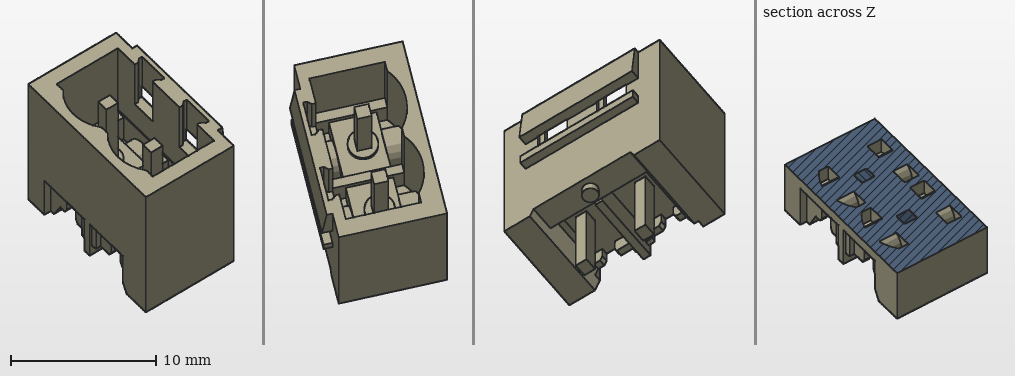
import cadquery as cq


TOTAL_HEIGHT = 15.2
CUT_MARGIN = 0.15

PITCH = 5.0
POLE_XS = (-PITCH / 2, PITCH / 2)
POLE_Y = 3.8

WIDTH = 13.2
DEPTH = 7.69
HEIGHT = 12.0

CAVITY_WIDTH = 10.78
CAVITY_FRONT_Y = 1.55
CAVITY_BACK_Y = 6.85
LEDGE_Z = 5.47
FLOOR_Z = 3.19
DIVIDER_WIDTH = 0.65
CELL_WIDTH = PITCH - DIVIDER_WIDTH
SCALLOP_FRONT_Y = 0.76
BACK_RELIEF_Y = 6.9
BACK_RELIEF_Z = 5.62

SADDLE_RADIUS = 1.47
BRIDGE_FRONT_Y = 2.31
BRIDGE_BACK_Y = 5.68
BRIDGE_Z = 5.02
COLLAR_RADIUS = 1.06
COLLAR_HEIGHT = 0.3

SLOT_NECK_WIDTH = 1.99
SLOT_WIDE_WIDTH = 2.5
SLOT_NECK_END_Y = 7.19
SLOT_WIDE_START_Y = 7.46
SLOT_BACK_Y = 7.74
SLOT_SILL_Z = 7.86

LATCH_WIDTH = 9.56
LATCH_HEIGHT = 3.1
LATCH_DEPTH_TOP = 0.41
LATCH_DEPTH_BOTTOM = 0.75
STRIP_BOTTOM_Z = 5.96
STRIP_HEIGHT = 0.78
STRIP_DEPTH = 0.64

CHANNEL_BOTTOM_WIDTH = 8.85
CHANNEL_TOP_WIDTH = 7.48
CHANNEL_HEIGHT = 1.32
HOLLOW_FRONT_Y = 1.08
HOLLOW_HEIGHT = 2.55
BACK_BLOCK_Y = BRIDGE_BACK_Y
BACK_BLOCK_BOTTOM_Z = 0.61

NOTCH_LEFT_X = -4.77
NOTCH_RIGHT_X = 4.0
NOTCH_DEPTH = 0.56
NOTCH_HEIGHT = 3.54
RIB_WIDTH = 0.61
RIB_BOTTOM_Z = 0.27
PAD_WIDTH = 1.6
PAD_FRONT_Y = 0.18
PAD_SAG = 0.14

OPENING_WIDTH = 1.03
OPENING_MOUTH_WIDTH = 1.43
OPENING_FLARE_Z = 1.69

PEG_RADIUS = 0.6
PEG_Y = (BACK_BLOCK_Y + DEPTH) / 2

PIN_WIDTH = 0.91
PIN_DEPTH = 1.02
PIN_TOP_Z = 11.1
PIN_BOTTOM_Z = HEIGHT - TOTAL_HEIGHT


def block(x0, x1, y0, y1, z0, z1):
    """Box given by its limits on each axis."""
    return cq.Workplane("XY").box(x1 - x0, y1 - y0, z1 - z0, centered=False).translate((x0, y0, z0))


def centred_block(width, y0, y1, z0, z1, x=0.0):
    """Box of the given width about x."""
    return block(x - width / 2, x + width / 2, y0, y1, z0, z1)


def along_y(profile, y0, y1):
    """Extrude an XZ profile from y0 to y1."""
    return profile.extrude(-(y1 - y0)).translate((0, y0, 0))


def pin(x):
    """Straight square-ended pin standing at one pole."""
    front_y = POLE_Y - PIN_DEPTH / 2
    return centred_block(PIN_WIDTH, front_y, front_y + PIN_DEPTH, PIN_BOTTOM_Z, PIN_TOP_Z, x)


def latch():
    """Wedge across the back, thickest at its lower edge."""
    profile = (
        cq.Workplane("YZ")
        .moveTo(DEPTH, HEIGHT)
        .lineTo(DEPTH + LATCH_DEPTH_TOP, HEIGHT)
        .lineTo(DEPTH + LATCH_DEPTH_BOTTOM, HEIGHT - LATCH_HEIGHT)
        .lineTo(DEPTH, HEIGHT - LATCH_HEIGHT)
        .close()
    )
    return profile.extrude(LATCH_WIDTH / 2, both=True)


def guide_strip():
    """Low bar across the back below the latch."""
    top_z = STRIP_BOTTOM_Z + STRIP_HEIGHT
    return centred_block(LATCH_WIDTH, DEPTH, DEPTH + STRIP_DEPTH, STRIP_BOTTOM_Z, top_z)


def plug_cavity():
    """Rectangular opening down to the ledges and the divider."""
    return centred_block(CAVITY_WIDTH, CAVITY_FRONT_Y, CAVITY_BACK_Y, LEDGE_Z, HEIGHT + CUT_MARGIN)


def back_relief():
    """Shallow step in the back wall of the cavity."""
    return centred_block(CAVITY_WIDTH, CAVITY_FRONT_Y, BACK_RELIEF_Y, BACK_RELIEF_Z, HEIGHT + CUT_MARGIN)


def cell(x):
    """Deep part of the cavity at one pole, with an arched front that reaches the top."""
    half = CELL_WIDTH / 2
    return (
        cq.Workplane("XY", origin=(x, 0, FLOOR_Z))
        .moveTo(-half, CAVITY_BACK_Y)
        .lineTo(-half, CAVITY_FRONT_Y)
        .threePointArc((0, SCALLOP_FRONT_Y), (half, CAVITY_FRONT_Y))
        .lineTo(half, CAVITY_BACK_Y)
        .close()
        .extrude(HEIGHT + CUT_MARGIN - FLOOR_Z)
    )


def cell_floor(x):
    """Half-round saddle, flat bridge and round collar under one pin."""
    saddle = along_y(
        cq.Workplane("XZ")
        .moveTo(x - SADDLE_RADIUS, FLOOR_Z)
        .threePointArc((x, FLOOR_Z + SADDLE_RADIUS), (x + SADDLE_RADIUS, FLOOR_Z))
        .close(),
        SCALLOP_FRONT_Y,
        CAVITY_BACK_Y,
    )
    bridge = centred_block(CELL_WIDTH, BRIDGE_FRONT_Y, BRIDGE_BACK_Y, FLOOR_Z, BRIDGE_Z, x)
    collar = (
        cq.Workplane("XY", origin=(x, POLE_Y, BRIDGE_Z))
        .circle(COLLAR_RADIUS)
        .extrude(COLLAR_HEIGHT)
    )
    return saddle.intersect(cell(x)).union(bridge).union(collar)


def coding_slot(x):
    """Slot that widens behind a narrow neck."""
    neck = SLOT_NECK_WIDTH / 2
    wide = SLOT_WIDE_WIDTH / 2
    return (
        cq.Workplane("XY", origin=(x, 0, SLOT_SILL_Z))
        .moveTo(-neck, CAVITY_BACK_Y - CUT_MARGIN)
        .lineTo(-neck, SLOT_NECK_END_Y)
        .lineTo(-wide, SLOT_WIDE_START_Y)
        .lineTo(-wide, SLOT_BACK_Y)
        .lineTo(wide, SLOT_BACK_Y)
        .lineTo(wide, SLOT_WIDE_START_Y)
        .lineTo(neck, SLOT_NECK_END_Y)
        .lineTo(neck, CAVITY_BACK_Y - CUT_MARGIN)
        .close()
        .extrude(HEIGHT + CUT_MARGIN - SLOT_SILL_Z)
    )


def sloped_channel():
    """Trapezoidal channel along Y, shallower under the back block."""
    channel = along_y(
        cq.Workplane("XZ")
        .moveTo(-CHANNEL_BOTTOM_WIDTH / 2, 0)
        .lineTo(-CHANNEL_TOP_WIDTH / 2, CHANNEL_HEIGHT)
        .lineTo(CHANNEL_TOP_WIDTH / 2, CHANNEL_HEIGHT)
        .lineTo(CHANNEL_BOTTOM_WIDTH / 2, 0)
        .close(),
        0,
        DEPTH,
    )
    back_block = centred_block(WIDTH, BACK_BLOCK_Y, DEPTH, BACK_BLOCK_BOTTOM_Z, HEIGHT)
    return channel.cut(back_block)


def hollow():
    """Space around the pins between the front lip and the back block."""
    return centred_block(CHANNEL_TOP_WIDTH, HOLLOW_FRONT_Y, BACK_BLOCK_Y, 0, HOLLOW_HEIGHT)


def front_notch():
    """Recess in the lower front that leaves a lip behind it."""
    return block(NOTCH_LEFT_X, NOTCH_RIGHT_X, 0, NOTCH_DEPTH, 0, NOTCH_HEIGHT)


def lip_opening(x):
    """Opening in the front lip, flared at its lower edge."""
    half = OPENING_WIDTH / 2
    mouth = OPENING_MOUTH_WIDTH / 2
    profile = (
        cq.Workplane("XZ")
        .moveTo(x - mouth, CHANNEL_HEIGHT)
        .lineTo(x - half, OPENING_FLARE_Z)
        .lineTo(x - half, HOLLOW_HEIGHT)
        .lineTo(x + half, HOLLOW_HEIGHT)
        .lineTo(x + half, OPENING_FLARE_Z)
        .lineTo(x + mouth, CHANNEL_HEIGHT)
        .close()
    )
    return along_y(profile, NOTCH_DEPTH, HOLLOW_FRONT_Y)


def centre_rib():
    """Wall between the pins, from the front face to the back block."""
    return centred_block(RIB_WIDTH, 0, BACK_BLOCK_Y, RIB_BOTTOM_Z, NOTCH_HEIGHT)


def rib_pad():
    """Pad on the front lip behind the rib, with a bowed lower edge."""
    half = PAD_WIDTH / 2
    profile = (
        cq.Workplane("XZ")
        .moveTo(-half, NOTCH_HEIGHT)
        .lineTo(-half, CHANNEL_HEIGHT)
        .threePointArc((0, CHANNEL_HEIGHT - PAD_SAG), (half, CHANNEL_HEIGHT))
        .lineTo(half, NOTCH_HEIGHT)
        .close()
    )
    return along_y(profile, PAD_FRONT_Y, NOTCH_DEPTH)


def locating_peg():
    """Round peg under the back block."""
    return cq.Workplane("XY", origin=(0, PEG_Y, 0)).circle(PEG_RADIUS).extrude(BACK_BLOCK_BOTTOM_Z)


def make_housing():
    """Housing with a matching hole for each pin."""
    body = centred_block(WIDTH, 0, DEPTH, 0, HEIGHT)
    body = body.union(latch()).union(guide_strip())

    body = body.cut(plug_cavity()).cut(back_relief())
    for x in POLE_XS:
        body = body.cut(cell(x)).union(cell_floor(x)).cut(coding_slot(x))

    body = body.cut(sloped_channel()).cut(hollow()).cut(front_notch())
    for x in POLE_XS:
        body = body.cut(lip_opening(x))
    body = body.union(centre_rib()).union(rib_pad()).union(locating_peg())

    for x in POLE_XS:
        body = body.cut(pin(x))
    return body


housing = make_housing()
pins = [pin(x) for x in POLE_XS]

result = cq.Compound.makeCompound([housing.solids().val(), *[single.val() for single in pins]])